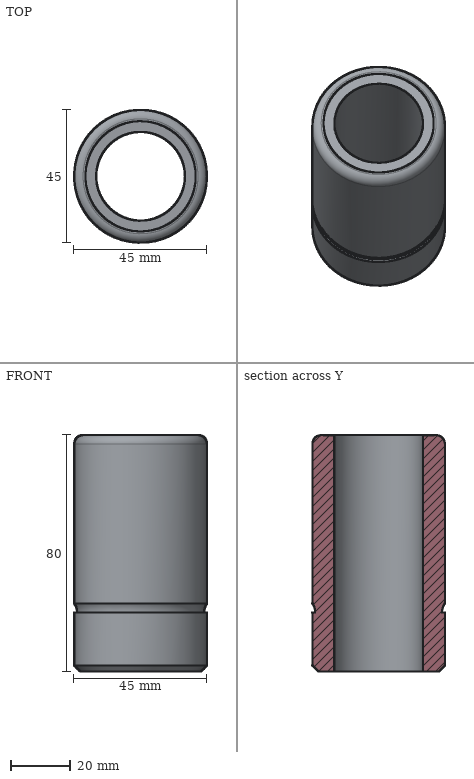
import cadquery as cq
import math

length = 80.0
outer_radius = 22.5
bore_radius = 15.0
top_round = 3.0
bottom_chamfer = 2.1

groove_bottom = 20.0
groove_height = 3.0
groove_depth = 1.0

seat_radius = 18.6
seat_depth = 0.1


def make_sleeve():
    """Solid cylinder with a rounded top edge and a chamfered bottom edge."""
    body = cq.Workplane("XY").circle(outer_radius).extrude(length)
    body = body.faces(">Z").edges().fillet(top_round)
    return body.faces("<Z").edges().chamfer(bottom_chamfer)


def make_groove():
    """Ring with an arc flank that is vertical where it meets the shoulder."""
    root_radius = outer_radius - groove_depth
    groove_top = groove_bottom + groove_height
    flank_radius = (groove_height**2 + groove_depth**2) / (2 * groove_depth)
    half_angle = math.asin(groove_height / flank_radius) / 2
    flank_middle = (
        root_radius + flank_radius * (1 - math.cos(half_angle)),
        groove_bottom + flank_radius * math.sin(half_angle),
    )
    return (
        cq.Workplane("XZ")
        .moveTo(outer_radius, groove_bottom)
        .lineTo(root_radius, groove_bottom)
        .threePointArc(flank_middle, (outer_radius, groove_top))
        .close()
        .revolve(360, (0, 0, 0), (0, 1, 0))
    )


def make_bore():
    """Through bore."""
    return cq.Workplane("XY").circle(bore_radius).extrude(length)


def make_seat():
    """Shallow circular recess in the top face."""
    return cq.Workplane("XY").workplane(offset=length - seat_depth).circle(seat_radius).extrude(seat_depth)


result = make_sleeve().cut(make_groove()).cut(make_bore()).cut(make_seat())